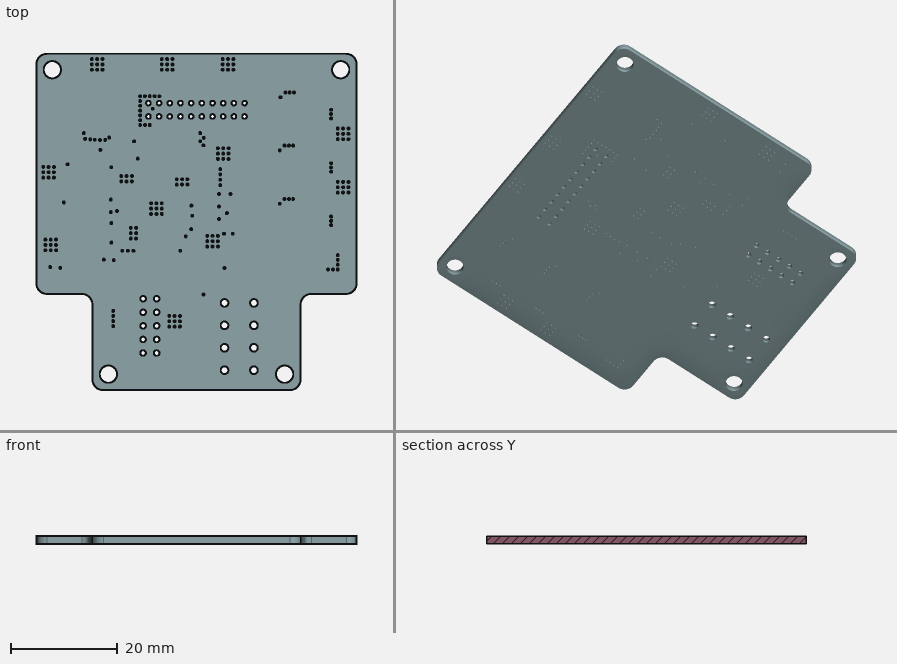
import cadquery as cq

BOARD_WIDTH = 60.0
BOARD_LENGTH = 63.0
BOARD_THICKNESS = 1.57
TAB_WIDTH = 39.0
TAB_LENGTH = 18.0
CORNER_RADIUS = 2.0

MOUNT_DIAMETER = 3.2
POWER_PIN_DIAMETER = 1.4
BOX_PIN_DIAMETER = 1.02
HEADER_PIN_DIAMETER = 0.85
VIA_DIAMETER = 0.35

MOUNT_INSET = 3.0

HEADER_CENTER = (0.0, 21.0)
HEADER_COUNTS = (10, 2)
HEADER_PITCHES = (2.0, 2.5)

BOX_CENTER = (-8.73, -19.46)
BOX_COUNTS = (2, 5)
BOX_PITCHES = (2.54, 2.54)

POWER_CENTER = (8.0, -21.46)
POWER_COUNTS = (2, 4)
POWER_PITCHES = (5.5, 4.2)

THERMAL_PITCH = 1.0
SQUARE_GRID_CENTERS = [
    (-18.6, 29.5),
    (-5.5, 29.5),
    (5.9, 29.5),
    (27.45, 16.5),
    (5.0, 12.8),
    (-27.7, 9.3),
    (27.45, 6.5),
    (-7.5, 2.5),
    (-27.3, -4.3),
    (3.0, -3.6),
    (-4.1, -18.6),
]
WIDE_GRID_CENTERS = [(-13.1, 8.1), (-2.7, 7.5)]
TALL_GRID_CENTER = (-11.8, -2.1)

FENCE_CORNER = (-10.55, 23.55)
FENCE_PITCH = 0.9
FENCE_SIDE_COUNT = 7
FENCE_TOP_COUNT = 5
FENCE_BOTTOM_COUNT = 3

HEADER_VIA = (-8.2, 21.2)

CHANNEL_PITCH = 10.0
CHANNEL_VIA_PITCH = 0.8
CHANNEL_VIA_COUNT = 3
CHANNEL_ROW_STARTS = [(16.65, 24.25), (16.5, 14.3), (16.5, 4.3)]
CHANNEL_OFFSET_VIA = (-0.92, -0.9)
CHANNEL_COLUMN_TOP = (25.2, 21.0)
CHANNEL_COLUMN_COUNT = 3

ELBOW_CORNER = (26.45, -8.9)
ELBOW_PITCH = 0.9
ELBOW_SIDE_COUNT = 4
ELBOW_BOTTOM_COUNT = 3

VIA_RUNS = [
    ((-15.6, -16.65), 4, (0.0, -0.95)),
    ((4.45, 9.9), 4, (0.0, -1.0)),
    ((-13.9, -5.4), 3, (1.05, 0.0)),
    ((4.2, 5.25), 3, (0.0, -2.35)),
    ((5.15, -2.2), 2, (1.65, 0.0)),
]

UPPER_LEFT_VIAS = [
    (-21.1, 16.65),
    (-20.85, 15.55),
    (-19.9, 15.45),
    (-19.05, 15.4),
    (-18.05, 15.35),
    (-17.1, 15.35),
    (-16.35, 15.8),
    (-18.0, 13.5),
    (-11.7, 15.1),
    (-11.0, 11.85),
    (-24.15, 10.8),
    (-15.95, 10.25),
    (-24.85, 3.65),
    (-16.05, 4.2),
    (-16.05, 1.85),
    (-14.9, 2.05),
]
LOWER_LEFT_VIAS = [
    (-15.95, -0.2),
    (-15.95, -3.85),
    (-17.35, -7.05),
    (-15.5, -7.15),
    (-27.4, -8.45),
    (-25.5, -8.6),
]
CENTER_VIAS = [
    (0.7, 16.65),
    (1.35, 15.75),
    (0.7, 15.1),
    (1.3, 14.35),
    (6.35, 5.25),
    (-0.95, 3.05),
    (-0.8, 1.15),
    (5.7, 1.65),
    (-1.0, -1.35),
    (-2.0, -2.7),
    (-3.05, -5.4),
    (5.25, -8.6),
    (1.3, -13.6),
]


def grid(center, counts, pitches):
    """Points of a rectangular grid around its middle."""
    center_x, center_y = center
    columns, rows = counts
    pitch_x, pitch_y = pitches
    left = center_x - pitch_x * (columns - 1) / 2
    bottom = center_y - pitch_y * (rows - 1) / 2
    return [
        (left + column * pitch_x, bottom + row * pitch_y)
        for column in range(columns)
        for row in range(rows)
    ]


def run(start, count, step):
    """Points of a straight run from its first point."""
    return [(start[0] + i * step[0], start[1] + i * step[1]) for i in range(count)]


def board_blank():
    """Plate with a stepped outline, every corner rounded, inner ones included."""
    half_width = BOARD_WIDTH / 2
    half_tab = TAB_WIDTH / 2
    top = BOARD_LENGTH / 2
    bottom = -BOARD_LENGTH / 2
    shoulder = bottom + TAB_LENGTH
    outline = [
        (-half_width, top),
        (half_width, top),
        (half_width, shoulder),
        (half_tab, shoulder),
        (half_tab, bottom),
        (-half_tab, bottom),
        (-half_tab, shoulder),
        (-half_width, shoulder),
    ]
    plate = cq.Workplane("XY").polyline(outline).close().extrude(BOARD_THICKNESS)
    return plate.edges("|Z").fillet(CORNER_RADIUS)


def mounting_points():
    """One hole near each upper corner of the body and each lower corner of the tab."""
    mount_y = BOARD_LENGTH / 2 - MOUNT_INSET
    body_x = BOARD_WIDTH / 2 - MOUNT_INSET
    tab_x = TAB_WIDTH / 2 - MOUNT_INSET
    return [(-body_x, mount_y), (body_x, mount_y), (-tab_x, -mount_y), (tab_x, -mount_y)]


def thermal_points():
    """Vias of the 3 x 3, 3 x 2 and 2 x 3 thermal grids."""
    pitches = (THERMAL_PITCH, THERMAL_PITCH)
    points = grid(TALL_GRID_CENTER, (2, 3), pitches)
    for center in SQUARE_GRID_CENTERS:
        points += grid(center, (3, 3), pitches)
    for center in WIDE_GRID_CENTERS:
        points += grid(center, (3, 2), pitches)
    return points


def fence_points():
    """A side column with a row running right from each of its ends."""
    x, top = FENCE_CORNER
    bottom = top - FENCE_PITCH * (FENCE_SIDE_COUNT - 1)
    right = (FENCE_PITCH, 0.0)
    side = run(FENCE_CORNER, FENCE_SIDE_COUNT, (0.0, -FENCE_PITCH))
    top_row = run((x + FENCE_PITCH, top), FENCE_TOP_COUNT - 1, right)
    bottom_row = run((x + FENCE_PITCH, bottom), FENCE_BOTTOM_COUNT - 1, right)
    return side + top_row + bottom_row


def channel_points():
    """Rows with their offset via, and the columns near the right edge."""
    points = []
    offset_x, offset_y = CHANNEL_OFFSET_VIA
    for x, y in CHANNEL_ROW_STARTS:
        points += run((x, y), CHANNEL_VIA_COUNT, (CHANNEL_VIA_PITCH, 0.0))
        points.append((x + offset_x, y + offset_y))
    for top in run(CHANNEL_COLUMN_TOP, CHANNEL_COLUMN_COUNT, (0.0, -CHANNEL_PITCH)):
        points += run(top, CHANNEL_VIA_COUNT, (0.0, -CHANNEL_VIA_PITCH))
    return points


def elbow_points():
    """A column rising from the corner and a row running left from it."""
    x, y = ELBOW_CORNER
    side = run(ELBOW_CORNER, ELBOW_SIDE_COUNT, (0.0, ELBOW_PITCH))
    bottom_row = run((x - ELBOW_PITCH, y), ELBOW_BOTTOM_COUNT - 1, (-ELBOW_PITCH, 0.0))
    return side + bottom_row


def via_points():
    """Every via on the board."""
    points = thermal_points() + fence_points() + channel_points() + elbow_points()
    for start, count, step in VIA_RUNS:
        points += run(start, count, step)
    points.append(HEADER_VIA)
    return points + UPPER_LEFT_VIAS + LOWER_LEFT_VIAS + CENTER_VIAS


def drill(board, points, diameter):
    """Round holes through the full thickness."""
    return board.faces(">Z").workplane(origin=(0, 0, 0)).pushPoints(points).hole(diameter)


result = board_blank()
result = drill(result, mounting_points(), MOUNT_DIAMETER)
result = drill(result, grid(HEADER_CENTER, HEADER_COUNTS, HEADER_PITCHES), HEADER_PIN_DIAMETER)
result = drill(result, grid(BOX_CENTER, BOX_COUNTS, BOX_PITCHES), BOX_PIN_DIAMETER)
result = drill(result, grid(POWER_CENTER, POWER_COUNTS, POWER_PITCHES), POWER_PIN_DIAMETER)
result = drill(result, via_points(), VIA_DIAMETER)